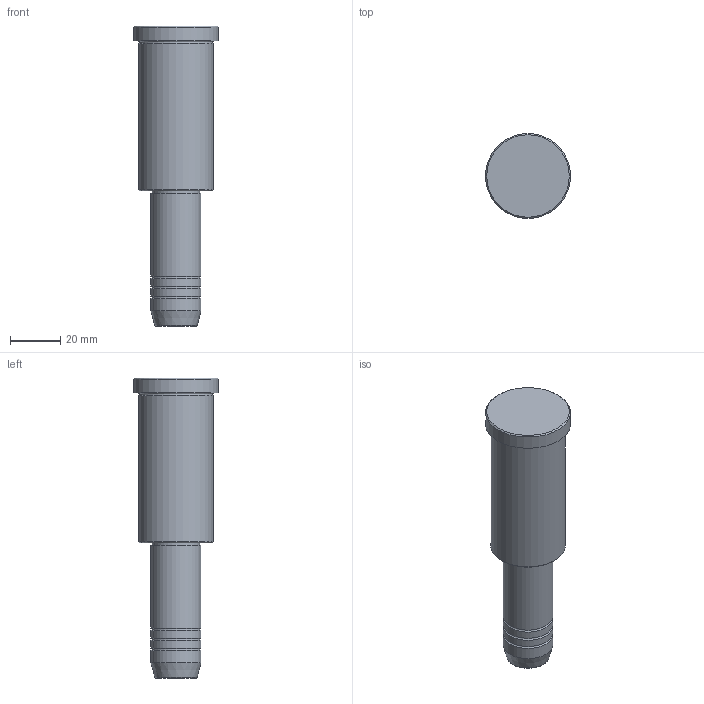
import cadquery as cq
import math

total_length = 120.0
head_length = 6.0
body_length = 60.0
tip_length = 6.0

head_radius = 17.0
body_radius = 15.0
shank_radius = 10.0

head_edge_chamfer = 0.5
body_edge_chamfer = 0.5
tip_edge_fillet = 0.5
tip_half_angle = math.radians(15.0)

groove_radius = 0.5
groove_count = 3
groove_pitch = 4.0
first_groove_top = 20.0

relief_width = 1.0
relief_depth = 0.5

head_bottom = total_length - head_length
body_bottom = head_bottom - body_length
relief_bottom = body_bottom - relief_width
relief_radius = shank_radius - relief_depth
tip_radius = shank_radius - tip_length * math.tan(tip_half_angle)


def add_half_round_groove(profile, radius, top):
    """Continue a profile down to a level and around a half-round groove."""
    middle = top - groove_radius
    bottom = middle - groove_radius
    floor_radius = radius - groove_radius
    return profile.lineTo(radius, top).threePointArc((floor_radius, middle), (radius, bottom))


def add_head(profile):
    """Flat top face, chamfered rim and side of the head."""
    return (
        profile.lineTo(head_radius - head_edge_chamfer, total_length)
        .lineTo(head_radius, total_length - head_edge_chamfer)
        .lineTo(head_radius, head_bottom)
    )


def add_body(profile):
    """Body with a groove under the head and a chamfered lower edge."""
    profile = add_half_round_groove(profile, body_radius, head_bottom)
    return (
        profile.lineTo(body_radius, body_bottom + body_edge_chamfer)
        .lineTo(body_radius - body_edge_chamfer, body_bottom)
    )


def add_shank(profile):
    """Shank with a relief under the body, a row of grooves and a tapered tip."""
    profile = (
        profile.lineTo(relief_radius, body_bottom)
        .lineTo(relief_radius, relief_bottom)
        .lineTo(shank_radius, relief_bottom)
    )
    for index in range(groove_count):
        groove_top = first_groove_top - index * groove_pitch
        profile = add_half_round_groove(profile, shank_radius, groove_top)
    return profile.lineTo(shank_radius, tip_length).lineTo(tip_radius, 0)


half_profile = cq.Workplane("XZ").moveTo(0, total_length)
half_profile = add_head(half_profile)
half_profile = add_body(half_profile)
half_profile = add_shank(half_profile)
pin = half_profile.lineTo(0, 0).close().revolve(360, (0, 0), (0, 1))

result = pin.faces("<Z").edges().fillet(tip_edge_fillet)